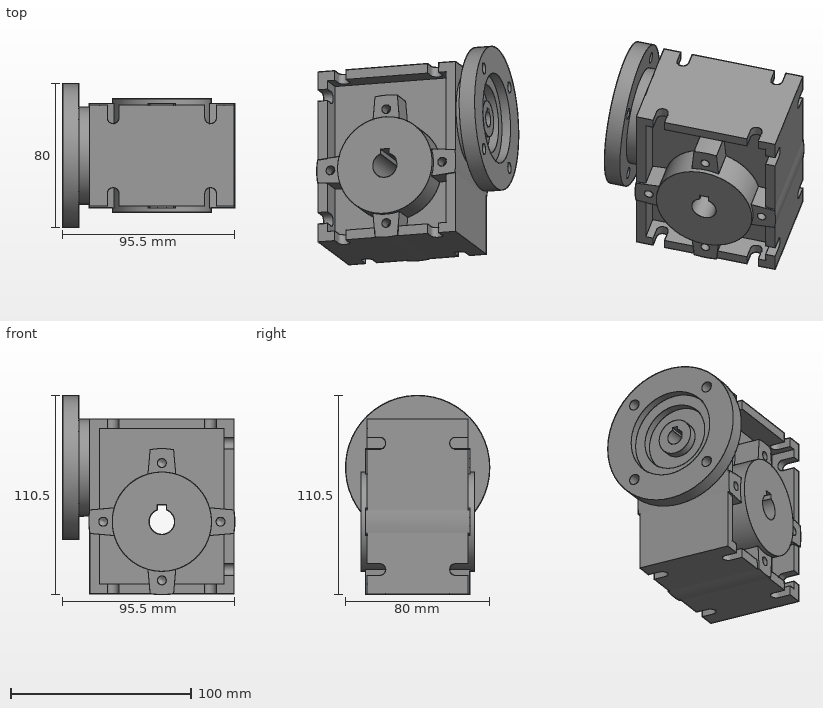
import cadquery as cq
import math

EPS = 1.0

HOUSING_HALF_X = 40.0
HOUSING_HALF_Y = 28.0
HOUSING_BOTTOM = -40.0
HOUSING_TOP = 57.0
HOUSING_HEIGHT = HOUSING_TOP - HOUSING_BOTTOM
HOUSING_MID_Z = (HOUSING_TOP + HOUSING_BOTTOM) / 2
WALL = 5.5
WEB_HALF_Y = 14.0

SLOT_WIDTH = 6.5
SLOT_CENTER_Y = 21.0
SLOT_HALF_PITCH_X = 27.0
SLOT_HALF_PITCH_Z = 35.0
SLOT_CUT_DEPTH = WALL + EPS

HUB_DIAMETER = 55.0
HUB_HALF_Y = 31.5
OUTPUT_BORE = 14.0
OUTPUT_KEY_WIDTH = 5.0
OUTPUT_KEY_TOP = 9.3

LUG_RADIUS = 40.5
LUG_TIP_HALF_WIDTH = 6.5
LUG_SIDE_ANGLE = 5.0
LUG_INNER_RADIUS = 20.0
LUG_HALF_Y = 29.0
LUG_HOLE_DIAMETER = 4.92
LUG_HOLE_RADIUS = 32.5
LUG_HOLE_DEPTH = 10.0
DRILL_POINT_ANGLE = 118.0
LUG_COUNT = 4

INPUT_Z = 30.0
FLANGE_FACE_X = -55.0
FLANGE_DIAMETER = 80.0
FLANGE_THICKNESS = 9.0
NECK_DIAMETER = 54.0
NECK_LENGTH = -HOUSING_HALF_X - FLANGE_FACE_X
PILOT_DIAMETER = 50.0
RECESS_DIAMETER = 38.0
RECESS_STEP = 5.0
SLEEVE_DIAMETER = 20.0
INPUT_BORE = 9.0
INPUT_BORE_DEPTH = 25.0
INPUT_KEY_WIDTH = 3.0
INPUT_KEY_TOP = 5.9
FLANGE_HOLE_DIAMETER = 6.0
FLANGE_BOLT_CIRCLE = 65.0
FLANGE_HOLE_COUNT = 4
FLANGE_HOLE_START_ANGLE = 45.0


def input_cylinder(start_x, length, diameter):
    """Cylinder on the input axis, running in +X from start_x."""
    plane = cq.Workplane("YZ", origin=(start_x, 0, INPUT_Z))
    return plane.circle(diameter / 2).extrude(length)


def cross_cylinder(half_length, diameter):
    """Cylinder on the output axis, centred on the origin."""
    return cq.Workplane("XZ").circle(diameter / 2).extrude(half_length, both=True)


def make_housing():
    """Block with a deep rectangular pocket in each side face, leaving a central web."""
    center = (0, 0, HOUSING_MID_Z)
    block = cq.Workplane(origin=center).box(2 * HOUSING_HALF_X, 2 * HOUSING_HALF_Y, HOUSING_HEIGHT)
    pocket_x = 2 * (HOUSING_HALF_X - WALL)
    pocket_z = HOUSING_HEIGHT - 2 * WALL
    pocket_y = HOUSING_HALF_Y - WEB_HALF_Y + EPS
    for side in (-1, 1):
        pocket_center = (0, side * (WEB_HALF_Y + pocket_y / 2), HOUSING_MID_Z)
        block = block.cut(cq.Workplane(origin=pocket_center).box(pocket_x, pocket_y, pocket_z))
    return block


def slot_cutter(plane_name, origin, side):
    """Round-ended slot, open towards the side face; its plane has Y as one axis."""
    open_length = HOUSING_HALF_Y - SLOT_CENTER_Y + EPS
    middle_y = side * (SLOT_CENTER_Y + open_length / 2)
    plane = cq.Workplane(plane_name, origin=origin)
    if plane_name == "XY":
        straight = plane.center(0, middle_y).rect(SLOT_WIDTH, open_length)
        round_end = plane.center(0, side * SLOT_CENTER_Y)
    else:
        straight = plane.center(middle_y, 0).rect(open_length, SLOT_WIDTH)
        round_end = plane.center(side * SLOT_CENTER_Y, 0)
    cutter = straight.extrude(SLOT_CUT_DEPTH)
    return cutter.union(round_end.circle(SLOT_WIDTH / 2).extrude(SLOT_CUT_DEPTH))


def cut_mounting_slots(body):
    """Slots through the top, bottom and +X walls, beside both side faces."""
    for side in (-1, 1):
        for direction in (-1, 1):
            slot_x = direction * SLOT_HALF_PITCH_X
            slot_z = HOUSING_MID_Z + direction * SLOT_HALF_PITCH_Z
            body = body.cut(slot_cutter("XY", (slot_x, 0, HOUSING_TOP - WALL), side))
            body = body.cut(slot_cutter("XY", (slot_x, 0, HOUSING_BOTTOM - EPS), side))
            body = body.cut(slot_cutter("YZ", (HOUSING_HALF_X - WALL, 0, slot_z), side))
    return body


def make_lug():
    """Upward lug that narrows outwards and ends in an arc about the output axis."""
    tip_height = math.sqrt(LUG_RADIUS**2 - LUG_TIP_HALF_WIDTH**2)
    taper = (tip_height - LUG_INNER_RADIUS) * math.tan(math.radians(LUG_SIDE_ANGLE))
    root_half_width = LUG_TIP_HALF_WIDTH + taper
    return (
        cq.Workplane("XZ")
        .moveTo(-root_half_width, LUG_INNER_RADIUS)
        .lineTo(-LUG_TIP_HALF_WIDTH, tip_height)
        .threePointArc((0, LUG_RADIUS), (LUG_TIP_HALF_WIDTH, tip_height))
        .lineTo(root_half_width, LUG_INNER_RADIUS)
        .close()
        .extrude(LUG_HALF_Y, both=True)
    )


def make_lug_holes():
    """Pair of blind drilled holes with conical bottoms, one in each end of the upward lug."""
    radius = LUG_HOLE_DIAMETER / 2
    point_length = radius / math.tan(math.radians(DRILL_POINT_ANGLE / 2))
    bottom_y = LUG_HALF_Y - LUG_HOLE_DEPTH
    hole = (
        cq.Workplane("XY", origin=(0, 0, LUG_HOLE_RADIUS))
        .moveTo(0, bottom_y - point_length)
        .lineTo(radius, bottom_y)
        .lineTo(radius, LUG_HALF_Y + EPS)
        .lineTo(0, LUG_HALF_Y + EPS)
        .close()
        .revolve(360, (0, 0, 0), (0, 1, 0))
    )
    return hole.union(hole.mirror("XZ"))


def turn_about_output_axis(shape, index):
    return shape.rotate((0, 0, 0), (0, 1, 0), index * 360 / LUG_COUNT)


def make_output_bore():
    """Through bore with a keyway on its top side."""
    half_length = HUB_HALF_Y + EPS
    keyway = (
        cq.Workplane("XZ", origin=(0, 0, OUTPUT_KEY_TOP / 2))
        .rect(OUTPUT_KEY_WIDTH, OUTPUT_KEY_TOP)
        .extrude(half_length, both=True)
    )
    return cross_cylinder(half_length, OUTPUT_BORE).union(keyway)


def make_input_flange():
    """Flange disc on a narrower neck that runs into the housing."""
    neck = input_cylinder(FLANGE_FACE_X, NECK_LENGTH, NECK_DIAMETER)
    return input_cylinder(FLANGE_FACE_X, FLANGE_THICKNESS, FLANGE_DIAMETER).union(neck)


def make_input_recess():
    """Pilot bore, a deeper recess left around the central sleeve, and the keyed blind bore."""
    sleeve_face_x = FLANGE_FACE_X + RECESS_STEP
    pilot = input_cylinder(FLANGE_FACE_X, RECESS_STEP, PILOT_DIAMETER)
    recess = input_cylinder(sleeve_face_x, RECESS_STEP, RECESS_DIAMETER)
    sleeve = input_cylinder(sleeve_face_x, RECESS_STEP, SLEEVE_DIAMETER)
    bore = input_cylinder(sleeve_face_x, INPUT_BORE_DEPTH, INPUT_BORE)
    keyway = (
        cq.Workplane("YZ", origin=(sleeve_face_x, 0, INPUT_Z + INPUT_KEY_TOP / 2))
        .rect(INPUT_KEY_WIDTH, INPUT_KEY_TOP)
        .extrude(INPUT_BORE_DEPTH)
    )
    return pilot.union(recess.cut(sleeve)).union(bore).union(keyway)


def make_flange_holes():
    """Bolt holes through the flange, at 45 degrees to the Y and Z axes."""
    return (
        cq.Workplane("YZ", origin=(FLANGE_FACE_X, 0, INPUT_Z))
        .polarArray(FLANGE_BOLT_CIRCLE / 2, FLANGE_HOLE_START_ANGLE, 360, FLANGE_HOLE_COUNT)
        .circle(FLANGE_HOLE_DIAMETER / 2)
        .extrude(FLANGE_THICKNESS)
    )


body = cut_mounting_slots(make_housing())
body = body.union(cross_cylinder(HUB_HALF_Y, HUB_DIAMETER))
for lug_index in range(LUG_COUNT):
    body = body.union(turn_about_output_axis(make_lug(), lug_index))
body = body.union(make_input_flange())

for lug_index in range(LUG_COUNT):
    body = body.cut(turn_about_output_axis(make_lug_holes(), lug_index))
body = body.cut(make_output_bore())
body = body.cut(make_input_recess())
result = body.cut(make_flange_holes())